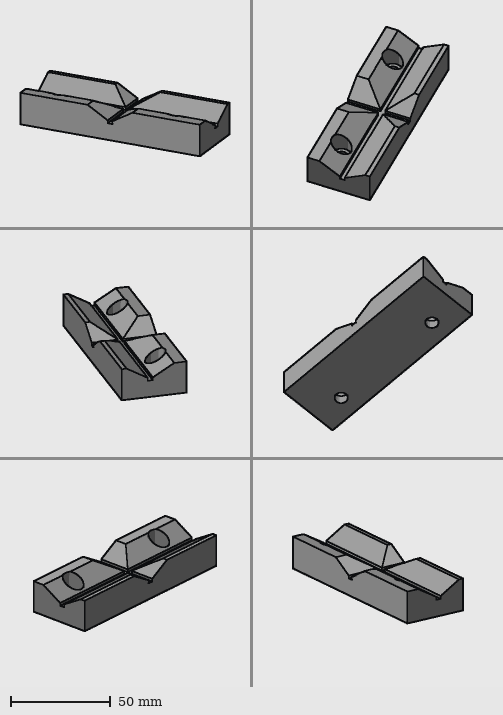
import cadquery as cq
import math

length = 100.0
width = 34.0
height = 17.0

groove_width = 25.0
flank_angle = 30.0
slot_width = 2.6
slot_depth = 8.0
cross_groove_x = length / 2
long_groove_y = 19.0

hole_diameter = 6.6
counterbore_diameter = 10.5
counterbore_floor_z = 6.0
hole_spacing = 65.0
hole_y = 11.0

flank_depth = (groove_width - slot_width) / 2 * math.tan(math.radians(flank_angle))


def groove_profile(plane, center):
    """Closed V outline with a square slot at its root, drawn on the given plane."""
    return (
        cq.Workplane(plane)
        .moveTo(center - groove_width / 2, height)
        .lineTo(center - slot_width / 2, height - flank_depth)
        .lineTo(center - slot_width / 2, height - slot_depth)
        .lineTo(center + slot_width / 2, height - slot_depth)
        .lineTo(center + slot_width / 2, height - flank_depth)
        .lineTo(center + groove_width / 2, height)
        .close()
    )


def mounting_hole(x):
    """Through hole with a counterbore open to the top."""
    bore = cq.Workplane("XY").center(x, hole_y).circle(hole_diameter / 2).extrude(height)
    counterbore = (
        cq.Workplane("XY", origin=(x, hole_y, counterbore_floor_z))
        .circle(counterbore_diameter / 2)
        .extrude(height - counterbore_floor_z)
    )
    return bore.union(counterbore)


block = cq.Workplane("XY").box(length, width, height, centered=False)

cross_groove = groove_profile("XZ", cross_groove_x).extrude(-width)
long_groove = groove_profile("YZ", long_groove_y).extrude(length)
result = block.cut(cross_groove).cut(long_groove)

for side in (-1, 1):
    result = result.cut(mounting_hole(length / 2 + side * hole_spacing / 2))